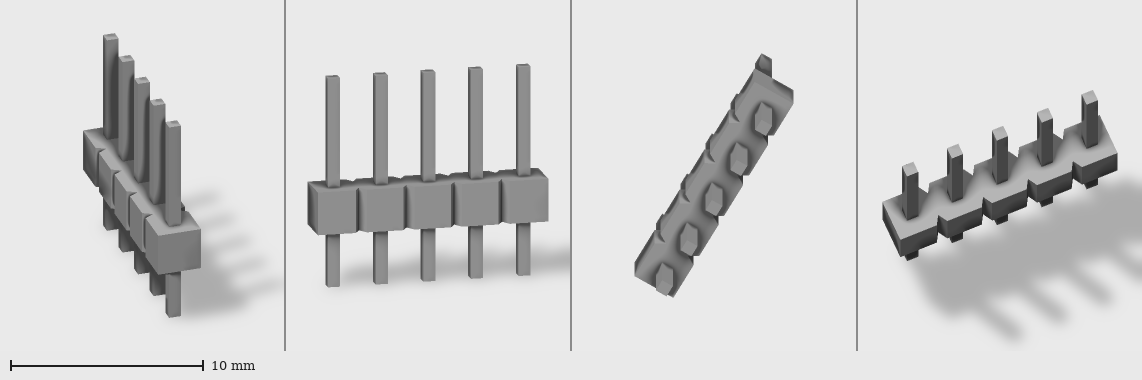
import cadquery as cq

pin_count = 5
pitch = 2.54
pin_width = 0.64
pin_length_above = 5.84
pin_length_below = 3.05

body_length = 12.29
body_width = 2.34
body_height = 2.29

notch_width = 0.59
notch_depth = 0.51
notch_offset_x = -0.025

pin_length = pin_length_below + body_height + pin_length_above
first_pin_x = -pitch * (pin_count - 1) / 2
first_notch_x = first_pin_x + pitch / 2 + notch_offset_x


def make_notch(x, side):
    """V-shaped cutter at x; side is +1 or -1 for the +Y or -Y face."""
    face_y = side * body_width / 2
    return (
        cq.Workplane("XY")
        .moveTo(x - notch_width / 2, face_y)
        .lineTo(x, face_y - side * notch_depth)
        .lineTo(x + notch_width / 2, face_y)
        .close()
        .extrude(body_height)
    )


def make_body():
    """Rectangular strip standing on Z = 0, notched on both sides between pins."""
    body = cq.Workplane("XY").box(body_length, body_width, body_height, centered=(True, True, False))
    for index in range(pin_count - 1):
        notch_x = first_notch_x + index * pitch
        for side in (-1, 1):
            body = body.cut(make_notch(notch_x, side))
    return body


def make_pin(x):
    """Square pin passing through the body at x."""
    return (
        cq.Workplane("XY")
        .box(pin_width, pin_width, pin_length, centered=(True, True, False))
        .translate((x, 0, -pin_length_below))
    )


result = make_body()
for pin_index in range(pin_count):
    result = result.union(make_pin(first_pin_x + pin_index * pitch))